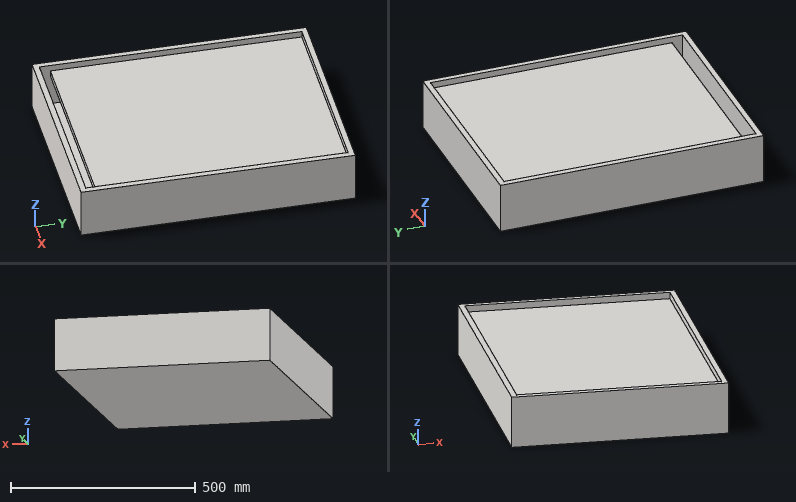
import cadquery as cq

width = 600.0
length = 763.0
height = 145.0
board = 17.0
panel_recess = 18.0
front_gap = 30.5

inner_width = width - 2 * board
inner_length = length - 2 * board
panel_length = inner_length - front_gap
panel_bottom = height - panel_recess - board


def make_tray():
    """Open-topped rectangular tray with a closed floor."""
    outside = cq.Workplane("XY").box(width, length, height, centered=(True, True, False))
    cavity = (
        cq.Workplane("XY")
        .workplane(offset=board)
        .rect(inner_width, inner_length)
        .extrude(height - board)
    )
    return outside.cut(cavity)


def make_panel():
    """Flat panel fitted against the side and back walls, leaving a slot at the front."""
    return (
        cq.Workplane("XY")
        .workplane(offset=panel_bottom)
        .center(0, front_gap / 2)
        .rect(inner_width, panel_length)
        .extrude(board)
    )


tray = make_tray()
panel = make_panel()

result = cq.Compound.makeCompound([tray.val(), panel.val()])